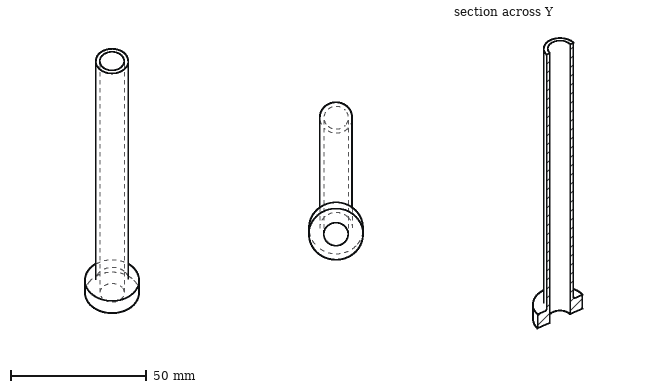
import cadquery as cq

total_length = 132.0
head_diameter = 20.0
head_height = 7.0
tube_diameter = 12.0
bore_diameter = 9.0
neck_fillet = 0.7

head_radius = head_diameter / 2
tube_radius = tube_diameter / 2
bore_radius = bore_diameter / 2

half_section = (
    cq.Workplane("XZ")
    .moveTo(bore_radius, 0)
    .lineTo(head_radius, 0)
    .lineTo(head_radius, head_height)
    .lineTo(tube_radius + neck_fillet, head_height)
    .radiusArc((tube_radius, head_height + neck_fillet), neck_fillet)
    .lineTo(tube_radius, total_length)
    .lineTo(bore_radius, total_length)
    .close()
)

result = half_section.revolve(360, (0, 0, 0), (0, 1, 0))